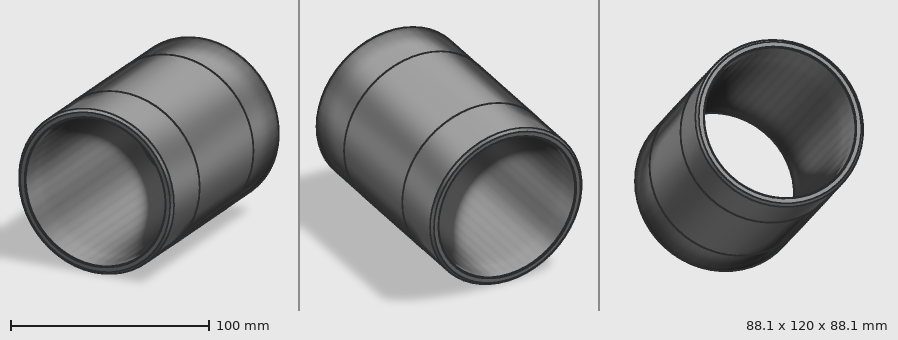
import cadquery as cq

length = 120.0
end_band_diameter = 87.88
middle_band_diameter = 88.08
bore_diameter = 79.0
end_band_length = 30.0
rim_chamfer = 1.48
bore_chamfer = 0.5

half_length = length / 2
half_middle = half_length - end_band_length
end_radius = end_band_diameter / 2
middle_radius = middle_band_diameter / 2
bore_radius = bore_diameter / 2


def wall_half_section():
    """(radius, y) outline of the wall from the mid-plane to the +Y end, outside first."""
    return [
        (middle_radius, half_middle),
        (end_radius, half_middle),
        (end_radius, half_length - rim_chamfer),
        (end_radius - rim_chamfer, half_length),
        (bore_radius + bore_chamfer, half_length),
        (bore_radius, half_length - bore_chamfer),
    ]


def sleeve():
    """Wall section, symmetric about the mid-plane, revolved around the Y axis."""
    upper = wall_half_section()
    lower = [(radius, -y) for radius, y in reversed(upper)]
    section = cq.Workplane("XY").polyline(upper + lower).close()
    return section.revolve(360, (0, 0, 0), (0, 1, 0))


result = sleeve()